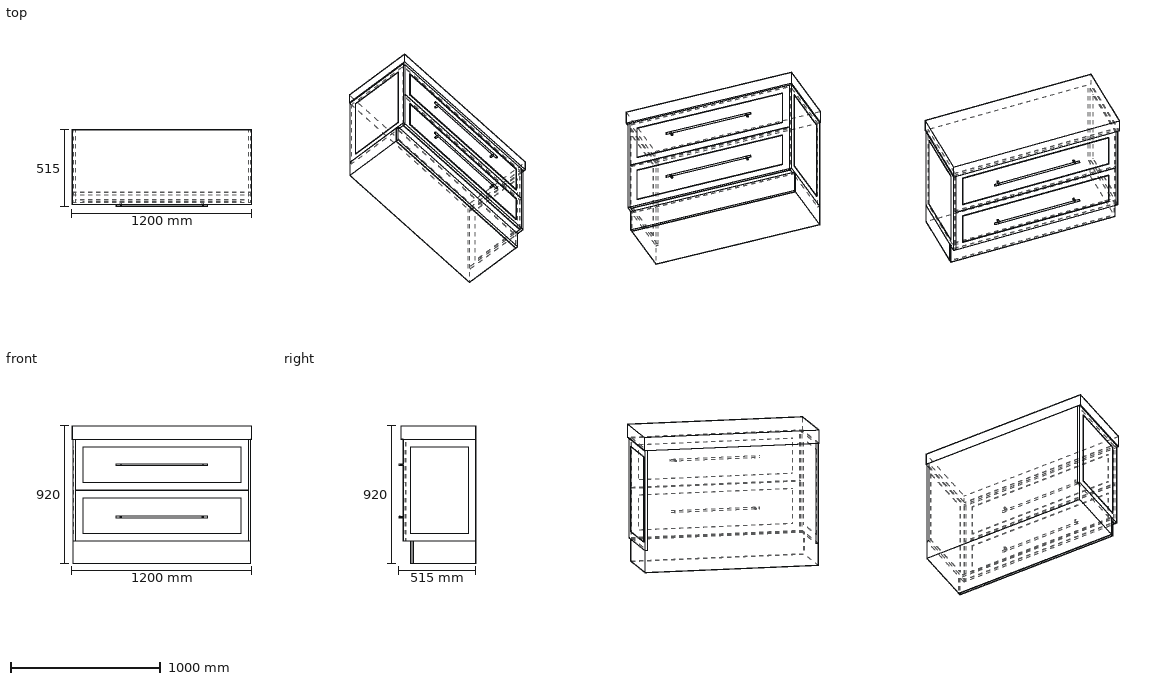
import cadquery as cq

worktop_length = 1200.0
worktop_depth = 500.0
worktop_thickness = 90.0
total_height = 920.0
total_depth = 515.0
plinth_height = 150.0
side_overhang = 6.0
front_overhang = 15.0
board = 15.0
fit_gap = 3.0
toe_recess = 50.0
frame_width = 50.0
drawer_field_recess = 5.0
panel_field_recess = 2.0
handle_length = 612.0
handle_diameter = 12.0
post_spacing = 548.0
post_diameter = 11.0
upper_handle_height = 660.0
lower_handle_height = 311.0

cabinet_width = worktop_length - 2 * side_overhang
cabinet_depth = worktop_depth - front_overhang
cabinet_top = total_height - worktop_thickness
cabinet_height = cabinet_top - plinth_height
front_y = -cabinet_depth
inner_width = cabinet_width - 2 * board
drawer_height = (cabinet_height - fit_gap) / 2
carcass_depth = cabinet_depth - board - fit_gap
plinth_front_y = front_y + toe_recess
base_depth = -plinth_front_y - board - fit_gap
field_y = front_y + drawer_field_recess
bar_y = -total_depth + handle_diameter / 2


def block(width, depth, height, front, bottom):
    """Box centred on X, with its front face at Y = front and its underside at Z = bottom."""
    return cq.Workplane("XY").box(width, depth, height, centered=(True, False, False)).translate(
        (0, front, bottom)
    )


def make_worktop():
    return block(worktop_length, worktop_depth, worktop_thickness, -worktop_depth, cabinet_top)


def make_carcass():
    """Cabinet block between the end panels, on a set-back base as wide as the cabinet."""
    cabinet = block(inner_width, carcass_depth, cabinet_height, -carcass_depth, plinth_height)
    base = block(cabinet_width, base_depth, plinth_height, -base_depth, 0)
    return cabinet.union(base)


def make_plinth_board():
    return block(cabinet_width, board, plinth_height, plinth_front_y, 0)


def make_end_panel(side):
    """End board with a recessed field in its outer face; side is -1 for left and +1 for right."""
    panel_x = side * (cabinet_width - board) / 2
    field_x = side * (cabinet_width - panel_field_recess) / 2
    panel = block(board, cabinet_depth, cabinet_height, front_y, plinth_height)
    field = block(
        panel_field_recess,
        cabinet_depth - 2 * frame_width,
        cabinet_height - 2 * frame_width,
        front_y + frame_width,
        plinth_height + frame_width,
    )
    return panel.translate((panel_x, 0, 0)).cut(field.translate((field_x, 0, 0)))


def make_drawer_front(bottom):
    """Front board with a recessed field in its front face."""
    front = block(inner_width, board, drawer_height, front_y, bottom)
    field = block(
        inner_width - 2 * frame_width,
        drawer_field_recess,
        drawer_height - 2 * frame_width,
        front_y,
        bottom + frame_width,
    )
    return front.cut(field)


def make_handle(height):
    """Round bar carried on two round posts that stand on the recessed field."""
    handle = (
        cq.Workplane("YZ")
        .center(bar_y, height)
        .circle(handle_diameter / 2)
        .extrude(handle_length / 2, both=True)
    )
    posts = (
        cq.Workplane("XZ", origin=(0, field_y, height))
        .pushPoints([(-post_spacing / 2, 0), (post_spacing / 2, 0)])
        .circle(post_diameter / 2)
        .extrude(field_y - bar_y)
    )
    return handle.union(posts)


worktop = make_worktop()
carcass = make_carcass()
plinth_board = make_plinth_board()
end_panels = [make_end_panel(side) for side in (-1, 1)]
drawer_bottoms = [plinth_height, plinth_height + drawer_height + fit_gap]
drawer_fronts = [make_drawer_front(bottom) for bottom in drawer_bottoms]
handles = [make_handle(height) for height in (lower_handle_height, upper_handle_height)]

bodies = [worktop, carcass, plinth_board, *end_panels, *drawer_fronts, *handles]
result = cq.Compound.makeCompound([body.val() for body in bodies])